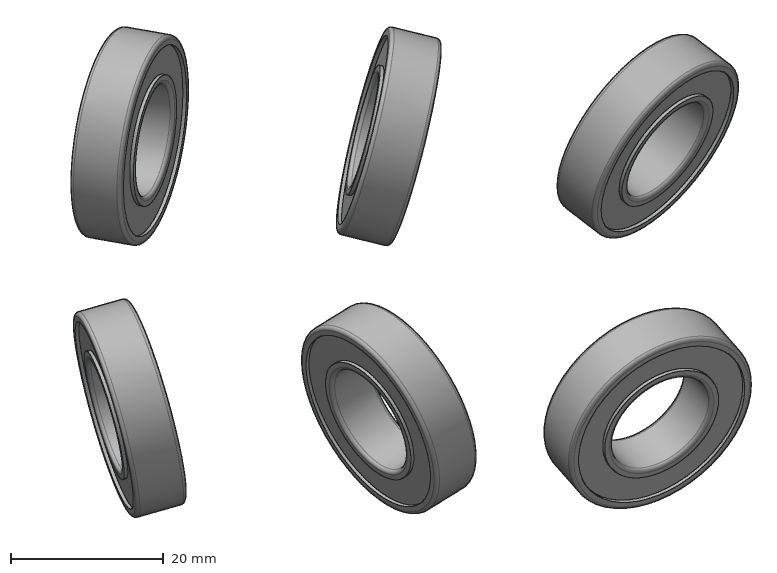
import cadquery as cq

outer_diameter = 28.0
bore_diameter = 15.0
width = 7.0
edge_radius = 0.5

recess_outer_diameter = 25.5
recess_inner_diameter = 17.5
recess_depth = 0.5


def tube(outer, inner, length, start_x):
    """Hollow cylinder along X, beginning at start_x."""
    return (
        cq.Workplane("YZ", origin=(start_x, 0, 0))
        .circle(outer / 2)
        .circle(inner / 2)
        .extrude(length)
    )


bearing = tube(outer_diameter, bore_diameter, width, -width / 2)
bearing = bearing.faces("<X or >X").edges().fillet(edge_radius)

for recess_start in (-width / 2, width / 2 - recess_depth):
    recess = tube(recess_outer_diameter, recess_inner_diameter, recess_depth, recess_start)
    bearing = bearing.cut(recess)

result = bearing